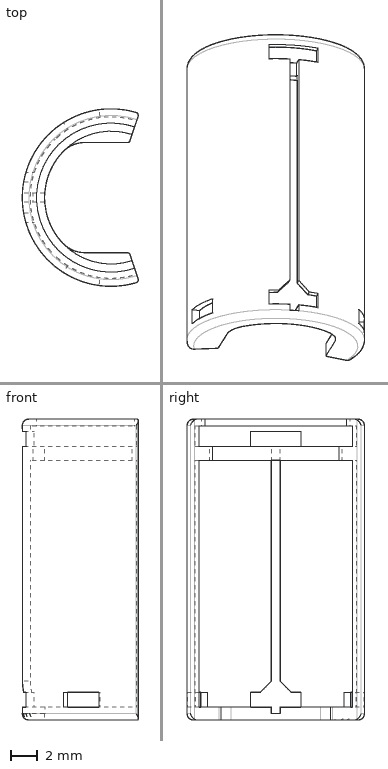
import cadquery as cq
import math

height = 22.35
outer_radius = 6.595
wall_radius = 6.0
end_angle = 18.5
rim_fillet = 0.5
end_fillet = 0.25

lip_radius = 5.53
lip_height = 0.53
shelf_radius = 4.93
shelf_height = 1.05
base_height = 0.97
base_flat_y = 4.08
base_blend_radius = 2.3
base_corner_fillet = 0.2

window_height = 1.1
back_window_width = 3.72
side_window_start = 7.8
side_window_end = 32.4
top_window_drop = 0.93
slot_width = 0.66
slot_depth_radius = 5.8
slot_floor = 0.5
arrow_width = 2.3

lip_bottom = height - lip_height
top_window_top = height - top_window_drop
shelf_top = top_window_top - window_height
shelf_bottom = shelf_top - shelf_height
base_window_top = base_height + window_height
reach = 2 * outer_radius
tolerance = 0.01


def disc(radius, bottom, top):
    """Cylinder about the sleeve axis."""
    return cq.Workplane("XY").workplane(offset=bottom).circle(radius).extrude(top - bottom)


def box(x_min, x_max, width, bottom, top):
    """Box centred on Y = 0."""
    size = (x_max - x_min, width, top - bottom)
    return cq.Workplane("XY").box(*size, centered=(False, True, False)).translate((x_min, 0, bottom))


def mouth():
    """Wedge with radial sides that opens the sleeve towards +X."""
    side_x = reach * math.sin(math.radians(end_angle))
    side_y = reach * math.cos(math.radians(end_angle))
    outline = [(0, 0), (side_x, -side_y), (reach, -side_y), (reach, side_y), (side_x, side_y)]
    return cq.Workplane("XY").polyline(outline).close().extrude(height)


def outer_body():
    """Cylinder with rounded rims, cut open by end faces whose outer edges are rounded."""
    rounded = disc(outer_radius, 0, height).faces("<Z or >Z").edges().fillet(rim_fillet)
    sector = disc(outer_radius, 0, height).cut(mouth())
    sector = sector.edges("|Z and >X").fillet(end_fillet)
    return rounded.intersect(sector)


def base_opening():
    """Bottom ring bore: round at the back, then two parallel flats running to the mouth."""
    flats = box(-reach, reach, 2 * base_flat_y, 0, base_height)
    bore = disc(shelf_radius, 0, base_height).intersect(flats)
    back_corners = cq.selectors.BoxSelector((-reach, -reach, -reach), (-tolerance, reach, reach))
    return bore.edges("|Z").edges(back_corners).fillet(base_blend_radius)


def hollow():
    """Stepped bore: top lip, relief, shelf, long clearance and bottom ring."""
    bore = disc(lip_radius, lip_bottom, height)
    bore = bore.union(disc(wall_radius, shelf_top, lip_bottom))
    bore = bore.union(disc(shelf_radius, shelf_bottom, shelf_top))
    bore = bore.union(disc(wall_radius, base_height, shelf_bottom))
    return bore.union(base_opening())


def side_window(side):
    """Window with radial sides; side is +1 for the +Y wall, -1 for the -Y wall."""
    corners = [(0, 0)]
    for angle in (side_window_start, side_window_end):
        turn = math.radians(angle)
        corners.append((-reach * math.sin(turn), side * reach * math.cos(turn)))
    wedge = cq.Workplane("XY").workplane(offset=base_height).polyline(corners).close()
    return wedge.extrude(window_height)


def back_windows():
    """Pair of rectangular windows through the -X wall."""
    lower = box(-reach, 0, back_window_width, base_height, base_window_top)
    upper = box(-reach, 0, back_window_width, shelf_top, top_window_top)
    return lower.union(upper)


def back_slot():
    """Narrow slot up the back: it only notches the shelf and flares above the bottom window."""
    slot = box(-reach, 0, slot_width, slot_floor, shelf_bottom)
    slot = slot.union(box(-reach, -slot_depth_radius, slot_width, shelf_bottom, shelf_top))
    half_slot = slot_width / 2
    half_arrow = arrow_width / 2
    arrow_top = base_window_top + half_arrow - half_slot
    outline = [
        (-half_arrow, base_window_top),
        (half_arrow, base_window_top),
        (half_slot, arrow_top),
        (-half_slot, arrow_top),
    ]
    arrow = cq.Workplane("YZ").polyline(outline).close().extrude(-reach)
    return slot.union(arrow)


def round_base_corners(body):
    """Round the bottom ring where its flats meet the end faces."""
    near_flats = cq.selectors.BoxSelector(
        (0, -base_flat_y - tolerance, -tolerance),
        (outer_radius, base_flat_y + tolerance, base_height + tolerance),
    )
    return body.edges("|Z").edges(near_flats).fillet(base_corner_fillet)


result = round_base_corners(outer_body().cut(hollow()))
for side in (1, -1):
    result = result.cut(side_window(side))
result = result.cut(back_windows()).cut(back_slot())